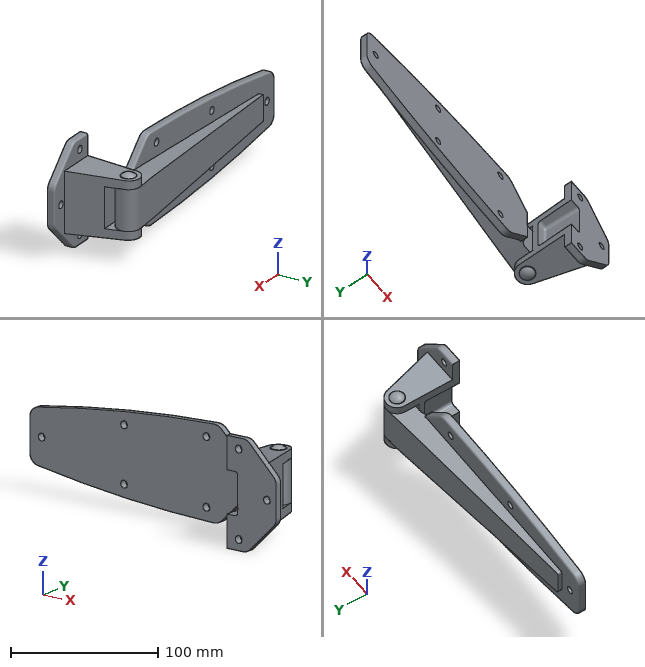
import cadquery as cq
import math


overall_length = 231.93
pin_height = 45.0
knuckle_radius = 9.0
knuckle_half_width = 15.7
screw_hole_diameter = 5.5
plate_edge_fillet = 1.5
draft = math.radians(1.5)

pin_radius = 5.7
head_height = 2.5
ear_tip_half_width = 22.2
pin_half_length = ear_tip_half_width + head_height

strap_length = 180.0
strap_end = -20.0
strap_tip = strap_end - strap_length
strap_thickness = 6.0
strap_bottom = pin_height - knuckle_radius - strap_thickness
strap_top = strap_bottom + strap_thickness
strap_half_width = 35.3
strap_tip_half_width = 19.5
shoulder_half_width = 15.5
tip_corner_radius = 8.0
shoulder_outer_radius = 10.0
shoulder_inner_radius = 7.0
neck_fillet = 5.0
strap_hole_pitch = 70.0
strap_hole_end_distance = 30.0
strap_hole_half_spacings = (25.0, 21.0)

rib_start = strap_tip + 19.5
rib_start_height = 39.25
rib_start_half_width = 10.0
rib_corner_fillet = 1.5

base_left = -10.0
base_right = strap_tip + overall_length
base_thickness = 6.0
base_half_width = 40.0
base_corner_start = 7.2
base_corner_radius = 8.0
base_hole_half_spacing = 32.0
base_hole_offset = 24.0
ear_foot_right = 19.6
slot_floor = 33.5
pocket_roof = 28.8
pocket_back = -0.8
pocket_side_fillet = 2.6
pocket_roof_fillet = 1.7


def tangent_point(x, y, side):
    """Touch point on the knuckle circle of the tangent from (x, y); side is +1 or -1."""
    distance = math.hypot(x, y - pin_height)
    toward_point = math.atan2(y - pin_height, x)
    angle = toward_point + side * math.acos(knuckle_radius / distance)
    return (knuckle_radius * math.cos(angle), pin_height + knuckle_radius * math.sin(angle))


def plan_plane(y):
    """Sketch plane at height y with local axes (X, -Z), extruding towards +Y."""
    return cq.Workplane(cq.Plane(origin=(0, y, 0), xDir=(1, 0, 0), normal=(0, 1, 0)))


def mirrored_outline(points):
    """The points mirrored across the centre line, in reverse order to continue an outline."""
    return [(x, -z) for x, z in reversed(points)]


def screw_holes(plate, bottom, places):
    """Drill plain through holes at (X, Z) places in a plate that starts at height bottom."""
    drill_depth = 2 * max(strap_thickness, base_thickness)
    holes = plan_plane(bottom).pushPoints(places).circle(screw_hole_diameter / 2).extrude(drill_depth)
    return plate.cut(holes)


def make_strap_plate():
    """Plate with bowed long sides, 45 degree shoulders and a short neck trimmed at its end."""
    bow_rise = strap_half_width - strap_tip_half_width
    bow_radius = (strap_length**2 + bow_rise**2) / (2 * bow_rise)
    bow_center = strap_half_width - bow_radius

    def bow_half_width(x):
        return bow_center + math.sqrt(bow_radius**2 - (x - strap_end)**2)

    shoulder_height = shoulder_half_width - bow_center
    shoulder_run = (math.sqrt(2 * bow_radius**2 - shoulder_height**2) - shoulder_height) / 2
    shoulder = (strap_end - shoulder_run, shoulder_half_width + shoulder_run)
    bow_middle_x = (strap_tip + shoulder[0]) / 2
    bow_middle = (bow_middle_x, bow_half_width(bow_middle_x))
    tip = (strap_tip, strap_tip_half_width)
    neck_start = (strap_end + shoulder_half_width - knuckle_half_width, knuckle_half_width)
    neck_end = (0, knuckle_half_width)

    plate = (
        plan_plane(strap_bottom)
        .moveTo(*tip)
        .threePointArc(bow_middle, shoulder)
        .lineTo(*neck_start)
        .lineTo(*neck_end)
        .lineTo(neck_end[0], -neck_end[1])
        .lineTo(neck_start[0], -neck_start[1])
        .lineTo(shoulder[0], -shoulder[1])
        .threePointArc((bow_middle[0], -bow_middle[1]), (tip[0], -tip[1]))
        .close()
        .extrude(strap_thickness)
    )
    corners = (
        (tip, tip_corner_radius),
        (shoulder, shoulder_outer_radius),
        (neck_start, shoulder_inner_radius),
    )
    middle_height = strap_bottom + strap_thickness / 2
    for (x, z), radius in corners:
        for side in (1, -1):
            corner_edge = cq.selectors.NearestToPointSelector((x, middle_height, side * z))
            plate = plate.edges("|Y").edges(corner_edge).fillet(radius)

    beyond_end = plan_plane(strap_bottom).rect(-2 * strap_end, 2 * strap_half_width).extrude(strap_thickness)
    plate = plate.cut(beyond_end)
    return plate.faces(">Y").edges("not >X").fillet(plate_edge_fillet)


def make_rib_and_knuckle():
    """Rib rising towards the pin in height and width, ending in the round strap knuckle."""
    top_touch = tangent_point(rib_start, rib_start_height, -1)
    side_profile = (
        cq.Workplane("XY", origin=(0, 0, -knuckle_half_width))
        .moveTo(rib_start, strap_top)
        .lineTo(rib_start, rib_start_height)
        .lineTo(*top_touch)
        .threePointArc((knuckle_radius, pin_height), (0, strap_top))
        .close()
        .extrude(2 * knuckle_half_width)
    )
    upper_side = [
        (rib_start, rib_start_half_width),
        (strap_end, knuckle_half_width),
        (knuckle_radius, knuckle_half_width),
    ]
    plan = (
        plan_plane(strap_top)
        .polyline(upper_side + mirrored_outline(upper_side))
        .close()
        .extrude(2 * knuckle_radius)
    )
    rib = side_profile.intersect(plan)
    rib = rib.faces("<X").edges("|Y").fillet(rib_corner_fillet)

    arc_reach = neck_fillet * (1 - math.sqrt(0.5))
    neck_web = (
        cq.Workplane("XY", origin=(0, 0, -knuckle_half_width))
        .moveTo(strap_end, strap_top)
        .lineTo(strap_end, strap_top - neck_fillet)
        .threePointArc(
            (strap_end + arc_reach, strap_top - arc_reach),
            (strap_end + neck_fillet, strap_top),
        )
        .close()
        .extrude(2 * knuckle_half_width)
    )
    return rib.union(neck_web)


def make_strap():
    first_hole = strap_end - strap_hole_end_distance
    places = [(first_hole - len(strap_hole_half_spacings) * strap_hole_pitch, 0)]
    for row, half_spacing in enumerate(strap_hole_half_spacings):
        row_x = first_hole - row * strap_hole_pitch
        places += [(row_x, half_spacing), (row_x, -half_spacing)]
    strap = make_strap_plate().union(make_rib_and_knuckle())
    return screw_holes(strap, strap_bottom, places).cut(make_pin())


def make_pin():
    """Round pin through both ears and the knuckle, with a domed cap at each end."""
    dome_radius = (pin_radius**2 + head_height**2) / (2 * head_height)
    arc_half_angle = math.asin(pin_radius / dome_radius) / 2
    arc_middle_x = dome_radius * math.sin(arc_half_angle)
    arc_middle_z = pin_half_length - dome_radius * (1 - math.cos(arc_half_angle))
    return (
        cq.Workplane("XZ", origin=(0, pin_height, 0))
        .moveTo(0, -pin_half_length)
        .threePointArc((arc_middle_x, -arc_middle_z), (pin_radius, -ear_tip_half_width))
        .lineTo(pin_radius, ear_tip_half_width)
        .threePointArc((arc_middle_x, arc_middle_z), (0, pin_half_length))
        .close()
        .revolve(360, (0, 0, 0), (0, 1, 0))
    )


def make_bracket_base():
    upper_side = [
        (base_left, base_half_width),
        (base_corner_start, base_half_width),
        (base_right, base_half_width - (base_right - base_corner_start)),
    ]
    base = plan_plane(0).polyline(upper_side + mirrored_outline(upper_side)).close().extrude(base_thickness)
    base = base.edges("|Y and (not <X)").fillet(base_corner_radius)
    return base.faces(">Y").edges("not <X").fillet(plate_edge_fillet)


def make_ear_block():
    """Block leaning up to the pin, its outer faces drafted, slotted for the strap knuckle."""
    left_touch = tangent_point(base_left, base_thickness, -1)
    right_touch = tangent_point(ear_foot_right, base_thickness, 1)
    ear_top = pin_height + knuckle_radius
    block = (
        cq.Workplane("XY", origin=(0, 0, -base_half_width))
        .moveTo(base_left, 0)
        .lineTo(base_left, base_thickness)
        .lineTo(*left_touch)
        .threePointArc((0, ear_top), right_touch)
        .lineTo(ear_foot_right, base_thickness)
        .lineTo(ear_foot_right, 0)
        .close()
        .extrude(2 * base_half_width)
    )
    ear_foot_half_width = ear_tip_half_width + ear_top * math.tan(draft)
    drafted_sides = (
        cq.Workplane("YZ", origin=(-overall_length / 2, 0, 0))
        .polyline([
            (0, ear_foot_half_width),
            (ear_top, ear_tip_half_width),
            (ear_top, -ear_tip_half_width),
            (0, -ear_foot_half_width),
        ])
        .close()
        .extrude(overall_length)
    )
    slot = (
        plan_plane(slot_floor)
        .rect(overall_length, 2 * knuckle_half_width)
        .extrude(ear_top - slot_floor)
    )
    return block.intersect(drafted_sides).cut(slot)


def make_pocket():
    """Hollow between the ears, open to the left and through the mounting face."""
    open_end = 2 * base_left
    pocket = (
        cq.Workplane("XY", origin=(0, 0, -knuckle_half_width))
        .polyline([
            (open_end, 0),
            (open_end, pocket_roof),
            (pocket_back - pocket_roof * math.tan(draft), pocket_roof),
            (pocket_back, 0),
        ])
        .close()
        .extrude(2 * knuckle_half_width)
    )
    pocket = pocket.faces(">Y").edges("|Z and >X").fillet(pocket_roof_fillet)
    return pocket.faces(">Z or <Z").edges("not (<X or <Y)").fillet(pocket_side_fillet)


def make_bracket():
    places = [(base_hole_offset, 0), (0, base_hole_half_spacing), (0, -base_hole_half_spacing)]
    bracket = screw_holes(make_bracket_base().union(make_ear_block()), 0, places)
    return bracket.cut(make_pocket()).cut(make_pin())


strap = make_strap()
bracket = make_bracket()
pin = make_pin()

result = cq.Compound.makeCompound([strap.solids().val(), bracket.solids().val(), pin.val()])